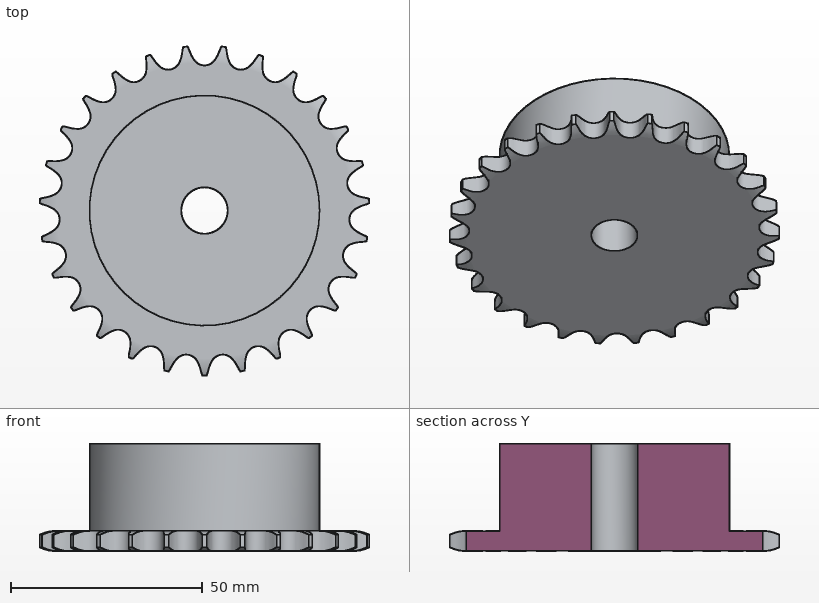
import cadquery as cq
import math


tooth_count = 27
chain_pitch = 9.5
roller_diameter = 6.4
outer_diameter = 86.0
plate_thickness = 5.3
plate_flat_radius = 38.7
hub_diameter = 60.0
total_height = 28.0
bore_diameter = 12.0
running_clearance = 0.035
gap_overshoot = 0.9

outer_radius = outer_diameter / 2
tooth_angle = 360 / tooth_count
pitch_radius = chain_pitch / 2 / math.sin(math.radians(tooth_angle / 2))
side_round_radius = chain_pitch

seat_angle = 90 - (35 + 60 / tooth_count)
working_angle = 18 - 56 / tooth_count
topping_angle = 17 - 64 / tooth_count
working_sine = math.sin(math.radians(working_angle))
working_cosine = math.cos(math.radians(working_angle))
topping_sine = math.sin(math.radians(topping_angle))
topping_cosine = math.cos(math.radians(topping_angle))

seat_radius = 1.005 * roller_diameter / 2 + running_clearance
working_radius = 1.3025 * roller_diameter + running_clearance
straight_length = roller_diameter * (1.4 * topping_sine - 0.8 * working_sine)
topping_radius = (
    roller_diameter * (0.8 * working_cosine + 1.4 * topping_cosine - 1.3025)
    - running_clearance
)


def add_arc(outline, point, heading, radius, turn):
    """Add a tangent arc (turn > 0 is to the left); return its end and new heading."""
    side = math.copysign(90, turn)

    def point_after(angle):
        start_spoke = math.radians(heading + side)
        end_spoke = math.radians(heading + angle + side)
        return (
            point[0] + radius * (math.cos(start_spoke) - math.cos(end_spoke)),
            point[1] + radius * (math.sin(start_spoke) - math.sin(end_spoke)),
        )

    end = point_after(turn)
    return outline.threePointArc(point_after(turn / 2), end), end, heading + turn


def make_plate():
    """Round plate whose rim curves in on both faces towards the tooth tips."""
    rim_width = outer_radius - plate_flat_radius

    def side_drop(distance):
        return side_round_radius - math.sqrt(side_round_radius**2 - distance**2)

    tip_drop = side_drop(rim_width)
    middle_drop = side_drop(rim_width / 2)
    middle_radius = plate_flat_radius + rim_width / 2
    return (
        cq.Workplane("XZ")
        .lineTo(plate_flat_radius, 0)
        .threePointArc((middle_radius, middle_drop), (outer_radius, tip_drop))
        .lineTo(outer_radius, plate_thickness - tip_drop)
        .threePointArc(
            (middle_radius, plate_thickness - middle_drop),
            (plate_flat_radius, plate_thickness),
        )
        .lineTo(0, plate_thickness)
        .close()
        .revolve(360, (0, 0), (0, 1))
    )


def make_gap():
    """Cutter for the space between two teeth, symmetric about the +Y axis."""
    point = (0, pitch_radius - seat_radius)
    outline = cq.Workplane("XY").moveTo(*point)
    outline, point, heading = add_arc(outline, point, 0, seat_radius, seat_angle)
    outline, point, heading = add_arc(outline, point, heading, working_radius, working_angle)

    direction = math.radians(heading)
    point = (
        point[0] + straight_length * math.cos(direction),
        point[1] + straight_length * math.sin(direction),
    )
    outline = outline.lineTo(*point)
    outline, point, heading = add_arc(outline, point, heading, topping_radius, -topping_angle)

    return (
        outline.lineTo(point[0], outer_radius + gap_overshoot)
        .lineTo(0, outer_radius + gap_overshoot)
        .mirrorY()
        .extrude(plate_thickness)
    )


def cut_teeth(plate):
    """Cut one gap per tooth around the rim."""
    gap = make_gap()
    for index in range(tooth_count):
        plate = plate.cut(gap.rotate((0, 0, 0), (0, 0, 1), index * tooth_angle))
    return plate


hub = cq.Workplane("XY").circle(hub_diameter / 2).extrude(total_height)
bore = cq.Workplane("XY").circle(bore_diameter / 2).extrude(total_height)

result = cut_teeth(make_plate()).union(hub).cut(bore)